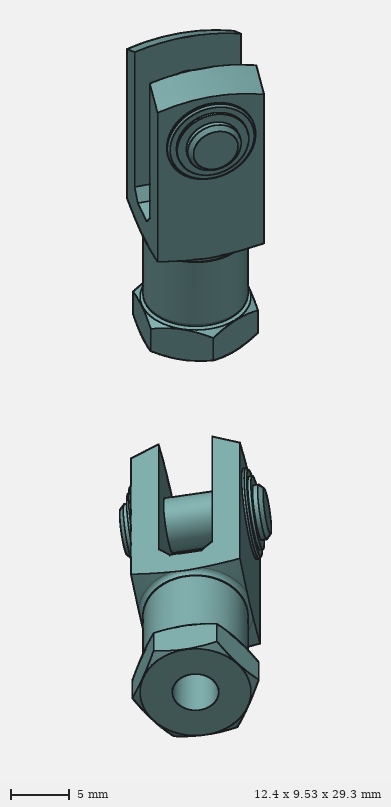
import cadquery as cq
import math

fork_width = 9.47
fork_bottom = 10.88
fork_top = 29.32
crown_axis_height = 12.35
crown_radius = 17.0
crown_angle = 29.0
bottom_cone_angle = 15.0

neck_dia = 9.0
neck_top_fillet = 0.55
neck_bottom_round = 0.45

hex_across_flats = 9.53
hex_height = 3.28
hex_flat_dia = 9.47
hex_chamfer_angle = 30.0

slot_width = 4.65
slot_floor = 13.28
slot_corner_width = 0.97
slot_corner_height = 1.03
bore_dia = 3.95

pin_dia = 4.75
pin_length = 12.45
pin_height = 23.37
pin_end_dia = 3.95
pin_end_chamfer = (pin_dia - pin_end_dia) / 2
collar_dia = 7.85
collar_end = 5.13
collar_chamfer = 0.19
step_dia = 6.35
step_end = 5.4


def slope(angle):
    return math.tan(math.radians(angle))


def make_crown():
    """Two opposed cones about an X-parallel axis that round and slope the top of each arm."""
    half_slot = slot_width / 2
    half_width = fork_width / 2
    outer_radius = crown_radius - (half_width - half_slot) * slope(crown_angle)
    return (
        cq.Workplane("XZ", origin=(0, 0, crown_axis_height))
        .moveTo(-half_width, 0)
        .lineTo(-half_width, outer_radius)
        .lineTo(-half_slot, crown_radius)
        .lineTo(half_slot, crown_radius)
        .lineTo(half_width, outer_radius)
        .lineTo(half_width, 0)
        .close()
        .revolve(360, (0, 0), (1, 0))
    )


def make_fork_head():
    """Square bar with a crowned top and a conical underside, flaring into the neck below."""
    half_width = fork_width / 2
    neck_radius = neck_dia / 2
    outer_radius = fork_width
    bottom_slope = slope(bottom_cone_angle)
    root_height = fork_bottom - (half_width - neck_radius) * bottom_slope
    outer_bottom = fork_bottom + (outer_radius - half_width) * bottom_slope

    tilt = math.radians(bottom_cone_angle)
    tangent_length = neck_top_fillet * math.tan((math.pi / 2 - tilt) / 2)
    fillet_start = root_height - tangent_length
    centre_radius = neck_radius + neck_top_fillet
    middle_angle = (math.pi / 2 - tilt) / 2
    fillet_middle = (
        centre_radius - neck_top_fillet * math.cos(middle_angle),
        fillet_start + neck_top_fillet * math.sin(middle_angle),
    )
    fillet_finish = (
        neck_radius + tangent_length * math.cos(tilt),
        root_height + tangent_length * math.sin(tilt),
    )
    envelope = (
        cq.Workplane("XZ")
        .moveTo(0, fillet_start)
        .lineTo(neck_radius, fillet_start)
        .threePointArc(fillet_middle, fillet_finish)
        .lineTo(outer_radius, outer_bottom)
        .lineTo(outer_radius, fork_top)
        .lineTo(0, fork_top)
        .close()
        .revolve(360, (0, 0), (0, 1))
    )
    bar = cq.Workplane("XY").rect(fork_width, fork_width).extrude(fork_top)
    return bar.intersect(envelope).intersect(make_crown())


def make_neck():
    """Round neck with a rounded lower edge."""
    radius = neck_dia / 2
    return (
        cq.Workplane("XZ")
        .moveTo(0, hex_height)
        .lineTo(radius - neck_bottom_round, hex_height)
        .radiusArc((radius, hex_height + neck_bottom_round), -neck_bottom_round)
        .lineTo(radius, fork_bottom - neck_top_fillet)
        .lineTo(0, fork_bottom)
        .close()
        .revolve(360, (0, 0), (0, 1))
    )


def make_hex_end():
    """Hexagon with flats facing -Y and +Y and corners chamfered at both ends."""
    corner_dia = hex_across_flats / math.cos(math.pi / 6)
    flat_radius = hex_flat_dia / 2
    corner_drop = (corner_dia / 2 - flat_radius) * slope(hex_chamfer_angle)
    envelope = (
        cq.Workplane("XZ")
        .moveTo(0, 0)
        .lineTo(flat_radius, 0)
        .lineTo(corner_dia / 2, corner_drop)
        .lineTo(corner_dia / 2, hex_height - corner_drop)
        .lineTo(flat_radius, hex_height)
        .lineTo(0, hex_height)
        .close()
        .revolve(360, (0, 0), (0, 1))
    )
    return cq.Workplane("XY").polygon(6, corner_dia).extrude(hex_height).intersect(envelope)


def make_slot():
    """Slot between the fork arms, with sloped floor corners."""
    half_slot = slot_width / 2
    half_floor = half_slot - slot_corner_width
    return (
        cq.Workplane("XZ")
        .moveTo(-half_floor, slot_floor)
        .lineTo(half_floor, slot_floor)
        .lineTo(half_slot, slot_floor + slot_corner_height)
        .lineTo(half_slot, fork_top)
        .lineTo(-half_slot, fork_top)
        .lineTo(-half_slot, slot_floor + slot_corner_height)
        .close()
        .extrude(fork_width / 2, both=True)
    )


def make_clevis():
    bore = cq.Workplane("XY").circle(bore_dia / 2).extrude(pin_height)
    pin_hole = (
        cq.Workplane("YZ")
        .center(0, pin_height)
        .circle(pin_dia / 2)
        .extrude(fork_width / 2, both=True)
    )
    clevis = make_fork_head().union(make_neck()).union(make_hex_end())
    return clevis.cut(make_slot()).cut(bore).cut(pin_hole)


def make_pin():
    """Round pin with chamfered ends and a two-step collar outside each arm."""
    pin = (
        cq.Workplane("YZ")
        .center(0, pin_height)
        .circle(pin_dia / 2)
        .extrude(pin_length / 2, both=True)
        .faces("<X or >X")
        .chamfer(pin_end_chamfer)
    )
    arm_face = fork_width / 2
    for side in (-1, 1):
        base = cq.Workplane("YZ", origin=(side * arm_face, 0, pin_height))
        outer_face = ">X" if side > 0 else "<X"
        collar = (
            base.circle(collar_dia / 2)
            .extrude(side * (collar_end - arm_face))
            .faces(outer_face)
            .chamfer(collar_chamfer)
        )
        step = base.circle(step_dia / 2).extrude(side * (step_end - arm_face))
        pin = pin.union(collar).union(step)
    return pin


clevis = make_clevis()
pin = make_pin()
result = cq.Compound.makeCompound([clevis.val(), pin.val()])